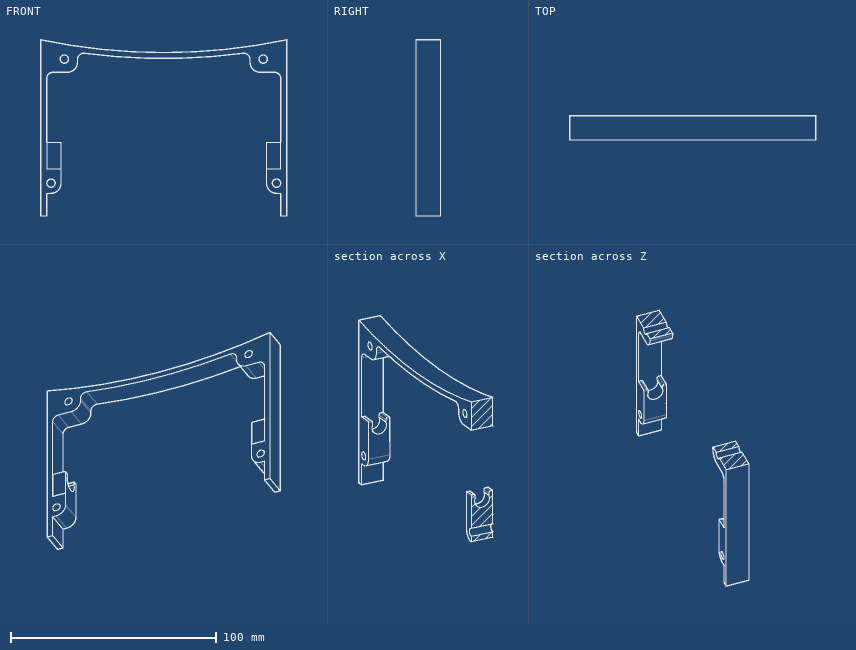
import cadquery as cq
import math

width = 120.0
depth = 12.0
height = 86.0
wall = 3.0
top_sag = 6.2
half_width = width / 2
inner_half = half_width - wall
arc_radius = (half_width**2 + top_sag**2) / (2 * top_sag)
arc_center_z = height - top_sag + arc_radius
under_radius = arc_radius + wall

hole_diameter = 4.0
upper_hole_x = 48.5
upper_hole_z = 76.5
upper_lug_half = 42.0
upper_lug_bottom = 70.1
upper_lug_radius = 5.0
corner_radius = 3.0

lower_hole_x = 55.0
lower_hole_z = 16.1
lower_lug_half = 50.0
lower_lug_bottom = 11.0
lower_lug_radius = 5.0
clip_top = 36.0
clip_bottom = 23.0
clip_recess = 0.1
clip_tip_radius = 0.6

seat_diameter = 7.9
seat_center_y = depth / 2
seat_center_z = 32.3
neck_width = 7.3
lip_radius = 1.0
mouth_width = neck_width + 2 * lip_radius


def box(x_min, x_max, z_min, z_max, y_max=depth):
    """Block with its front face at Y = 0."""
    size = (x_max - x_min, y_max, z_max - z_min)
    return cq.Workplane("XY").box(*size, centered=False).translate((x_min, 0, z_min))


def cylinder_y(x, z, diameter):
    """Cylinder through the full depth along Y."""
    return cq.Workplane("XZ").center(x, z).circle(diameter / 2).extrude(-depth)


def make_frame():
    """Arched top bar, two legs and the rounded upper corner lugs."""
    frame = box(-half_width, half_width, 0, height)
    frame = frame.cut(cylinder_y(0, arc_center_z, 2 * arc_radius))

    opening = box(-upper_lug_half, upper_lug_half, 0, height)
    opening = opening.cut(cylinder_y(0, arc_center_z, 2 * under_radius))
    opening = opening.union(box(-inner_half, inner_half, 0, upper_lug_bottom))
    frame = frame.cut(opening)

    arch_end_z = arc_center_z - math.sqrt(under_radius**2 - upper_lug_half**2)
    for side in (-1, 1):
        corners = (
            (inner_half, upper_lug_bottom, corner_radius),
            (upper_lug_half, upper_lug_bottom, upper_lug_radius),
            (upper_lug_half, arch_end_z, corner_radius),
        )
        for x, z, radius in corners:
            corner = cq.selectors.NearestToPointSelector((side * x, depth / 2, z))
            frame = frame.edges("|Y").edges(corner).fillet(radius)
    return frame


def make_groove():
    """Snap groove running along X through the right-hand clip."""
    length = half_width - lower_lug_half - wall
    plane = cq.Workplane("YZ", origin=(lower_lug_half, seat_center_y, 0))
    seat = plane.center(0, seat_center_z).circle(seat_diameter / 2).extrude(length)
    lip_z = clip_top - lip_radius
    neck = (
        plane.moveTo(-neck_width / 2, seat_center_z)
        .lineTo(-neck_width / 2, lip_z)
        .radiusArc((-mouth_width / 2, clip_top), -lip_radius)
        .lineTo(mouth_width / 2, clip_top)
        .radiusArc((neck_width / 2, lip_z), -lip_radius)
        .lineTo(neck_width / 2, seat_center_z)
        .close()
        .extrude(length)
    )
    return seat.union(neck)


def make_lower_lug():
    """Right-hand lower lug; the clip above it is set back slightly at the front."""
    lug = box(lower_lug_half, inner_half, lower_lug_bottom, clip_top)
    lug = lug.edges("|Y and <X and <Z").fillet(lower_lug_radius)
    lug = lug.edges("|Y and <X and >Z").fillet(clip_tip_radius)
    recess = box(lower_lug_half, inner_half, clip_bottom, clip_top, clip_recess)
    return lug.cut(recess).cut(make_groove())


result = make_frame()
right_lug = make_lower_lug()
result = result.union(right_lug).union(right_lug.mirror("YZ"))
for side in (-1, 1):
    result = result.cut(cylinder_y(side * upper_hole_x, upper_hole_z, hole_diameter))
    result = result.cut(cylinder_y(side * lower_hole_x, lower_hole_z, hole_diameter))